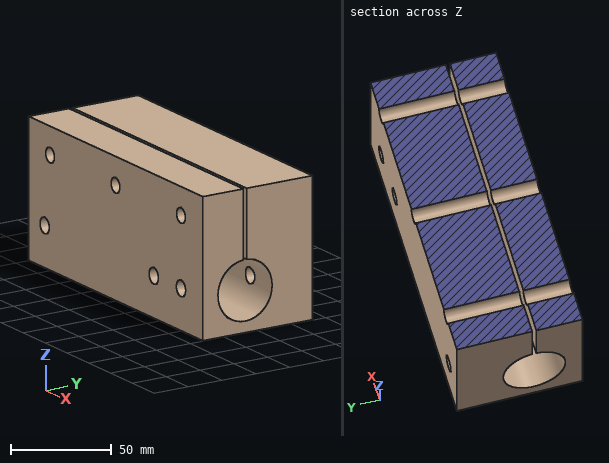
import cadquery as cq

length = 160.0
depth = 65.0
height = 75.0

bore_diameter = 32.0
bore_y = 25.0
bore_z = 22.0
slit_width = 2.0

upper_hole_diameter = 8.0
upper_hole_z = height - 15.0
upper_hole_margin = 20.0
upper_hole_xs = [upper_hole_margin, length / 2, length - upper_hole_margin]
lower_hole_diameter = 8.5
lower_hole_xs = [15.0, 115.0, length - upper_hole_margin]


def cross_holes(x_positions, z, diameter):
    """Cylinders running through the full depth of the block."""
    return (
        cq.Workplane("XZ")
        .pushPoints([(x, z) for x in x_positions])
        .circle(diameter / 2)
        .extrude(-depth)
    )


block = cq.Workplane("XY").box(length, depth, height, centered=False)
bore = cq.Workplane("YZ").center(bore_y, bore_z).circle(bore_diameter / 2).extrude(length)
slit = (
    cq.Workplane("XY", origin=(0, bore_y, bore_z))
    .box(length, slit_width, height - bore_z, centered=(False, True, False))
)

result = (
    block.cut(bore)
    .cut(slit)
    .cut(cross_holes(upper_hole_xs, upper_hole_z, upper_hole_diameter))
    .cut(cross_holes(lower_hole_xs, bore_z, lower_hole_diameter))
)